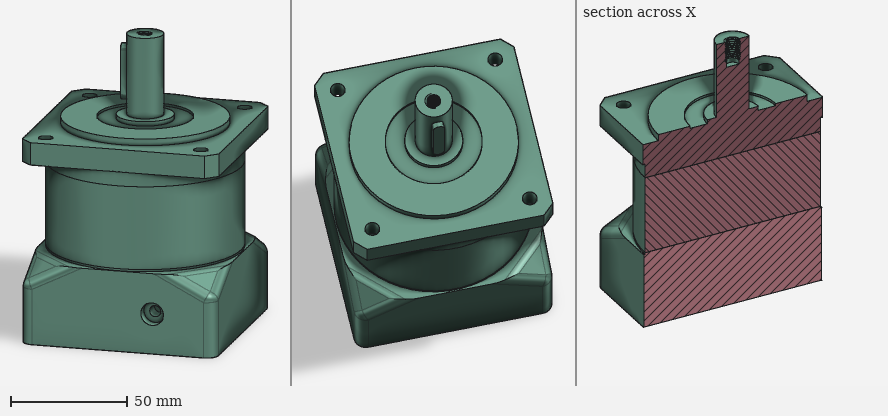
import cadquery as cq
BASE_TOP = 36.0
BASE_SPIGOT = 0.9
FLANGE_NECK_BOTTOM = 74.0
FLANGE_BOTTOM = 80.5
FLANGE_THICKNESS = 10.0
PILOT_HEIGHT = 3.0
SHAFT_TOP = 130.5

BASE_WIDTH = 87.2
CORNER_LEG = 20.0
CORNER_DROP = 10.0
CORNER_RADIUS = 5.2
ACCESS_X = 15.4
ACCESS_HEIGHT = 17.9
ACCESS_DIAMETER = 10.0
ACCESS_DEPTH = 5.0
SCREW_HOLE_DIAMETER = 5.0
SCREW_HOLE_DEPTH = 10.0

BODY_DIAMETER = 86.0

FLANGE_WIDTH = 88.0
FLANGE_CHAMFER = 5.0
PILOT_DIAMETER = 73.0
RECESS_DIAMETER = 41.8
RECESS_DEPTH = 1.0
MOUNT_SPACING = 69.4
MOUNT_DIAMETER = 6.3

COLLAR_DIAMETER = 25.0
COLLAR_HEIGHT = 2.0
SHAFT_DIAMETER = 16.0
KEY_WIDTH = 5.0
KEY_LENGTH = 25.0
KEY_REACH = 10.5
KEY_ROOT = 6.0
KEY_TOP_GAP = 5.0
CENTRE_HOLE_DIAMETER = 5.7
CENTRE_HOLE_DEPTH = 12.5
THREAD_PITCH = 1.0
THREAD_TURNS = 10
THREAD_DEPTH = 0.9
THREAD_GROOVE_WIDTH = 0.7
THREAD_OVERLAP = 0.3

RING_BOTTOM = BASE_TOP + BASE_SPIGOT
FLANGE_TOP = FLANGE_BOTTOM + FLANGE_THICKNESS
PILOT_TOP = FLANGE_TOP + PILOT_HEIGHT
RECESS_FLOOR = PILOT_TOP - RECESS_DEPTH


def cylinder(diameter, bottom, top):
    """Upright cylinder on the gearbox axis."""
    return cq.Workplane("XY").workplane(offset=bottom).circle(diameter / 2).extrude(top - bottom)


def corner_wedge():
    """Tetrahedron that slopes off the +X +Y top corner of the input housing."""
    half = BASE_WIDTH / 2
    corner = cq.Vector(half, half, BASE_TOP)
    along_x = corner - cq.Vector(CORNER_LEG, 0, 0)
    along_y = corner - cq.Vector(0, CORNER_LEG, 0)
    below = corner - cq.Vector(0, 0, CORNER_DROP)
    triangles = [
        (corner, along_x, along_y),
        (corner, along_y, below),
        (corner, below, along_x),
        (along_x, below, along_y),
    ]
    faces = [cq.Face.makeFromWires(cq.Wire.makePolygon(points, close=True)) for points in triangles]
    return cq.Workplane(cq.Solid.makeSolid(cq.Shell.makeShell(faces)))


def make_input_housing():
    """Square housing with sloped, rounded top corners and a round shoulder."""
    housing = cq.Workplane("XY").rect(BASE_WIDTH, BASE_WIDTH).extrude(BASE_TOP)
    wedge = corner_wedge()
    for quarter in range(4):
        housing = housing.cut(wedge.rotate((0, 0, 0), (0, 0, 1), 90 * quarter))

    housing = housing.edges("not(|X or |Y)").fillet(CORNER_RADIUS)
    housing = housing.union(cylinder(BODY_DIAMETER, BASE_TOP, RING_BOTTOM))

    access = (
        cq.Workplane("XZ", origin=(ACCESS_X, -BASE_WIDTH / 2, ACCESS_HEIGHT))
        .circle(ACCESS_DIAMETER / 2)
        .extrude(-ACCESS_DEPTH)
        .circle(SCREW_HOLE_DIAMETER / 2)
        .extrude(-SCREW_HOLE_DEPTH)
    )
    return housing.cut(access)


def make_ring_gear():
    """Plain round housing between the input housing and the output flange."""
    return cylinder(BODY_DIAMETER, RING_BOTTOM, FLANGE_NECK_BOTTOM)


def make_key():
    """Round-ended key, from inside the shaft wall out to its outer face on the -X side."""
    centre_height = SHAFT_TOP - KEY_TOP_GAP - KEY_LENGTH / 2
    return (
        cq.Workplane("YZ", origin=(-KEY_ROOT, 0, centre_height))
        .slot2D(KEY_LENGTH, KEY_WIDTH, 90)
        .extrude(KEY_ROOT - KEY_REACH)
    )


def thread_cutter():
    """Helical V groove that ends at the shaft end face, on the -Y side of the centre hole."""
    hole_radius = CENTRE_HOLE_DIAMETER / 2
    length = THREAD_PITCH * THREAD_TURNS
    bottom = SHAFT_TOP - length
    inner_radius = hole_radius - THREAD_OVERLAP
    inner_half_width = THREAD_GROOVE_WIDTH / 2 * (1 + THREAD_OVERLAP / THREAD_DEPTH)
    helix = cq.Wire.makeHelix(THREAD_PITCH, length, hole_radius, cq.Vector(0, 0, bottom))
    groove = (
        cq.Workplane("XZ")
        .moveTo(inner_radius, bottom - inner_half_width)
        .lineTo(hole_radius + THREAD_DEPTH, bottom)
        .lineTo(inner_radius, bottom + inner_half_width)
        .close()
        .sweep(cq.Workplane(helix), isFrenet=True)
    )
    return groove.rotate((0, 0, 0), (0, 0, 1), -90)


def tapped_shaft():
    """Plain shaft with its tapped centre hole; the thread runs out on the -X side."""
    shaft = (
        cylinder(SHAFT_DIAMETER, RECESS_FLOOR, SHAFT_TOP)
        .cut(cylinder(CENTRE_HOLE_DIAMETER, SHAFT_TOP - CENTRE_HOLE_DEPTH, SHAFT_TOP))
        .cut(thread_cutter())
    )
    return shaft.rotate((0, 0, 0), (0, 0, 1), -90)


def make_output_flange():
    """Square flange with its neck, pilot, and the keyed output shaft."""
    plate = (
        cq.Workplane("XY")
        .workplane(offset=FLANGE_BOTTOM)
        .rect(FLANGE_WIDTH, FLANGE_WIDTH)
        .extrude(FLANGE_THICKNESS)
        .edges("|Z")
        .chamfer(FLANGE_CHAMFER)
    )
    holes = (
        cq.Workplane("XY")
        .workplane(offset=FLANGE_BOTTOM)
        .rect(MOUNT_SPACING, MOUNT_SPACING, forConstruction=True)
        .vertices()
        .circle(MOUNT_DIAMETER / 2)
        .extrude(FLANGE_THICKNESS)
    )
    flange = (
        plate.cut(holes)
        .union(cylinder(BODY_DIAMETER, FLANGE_NECK_BOTTOM, FLANGE_BOTTOM))
        .union(cylinder(PILOT_DIAMETER, FLANGE_TOP, PILOT_TOP))
        .cut(cylinder(RECESS_DIAMETER, RECESS_FLOOR, PILOT_TOP))
    )
    shaft = (
        tapped_shaft()
        .union(cylinder(COLLAR_DIAMETER, RECESS_FLOOR, RECESS_FLOOR + COLLAR_HEIGHT))
        .union(make_key())
    )
    return flange.union(shaft)


input_housing = make_input_housing()
ring_gear = make_ring_gear()
output_flange = make_output_flange()

result = cq.Compound.makeCompound([input_housing.val(), ring_gear.val(), output_flange.val()])